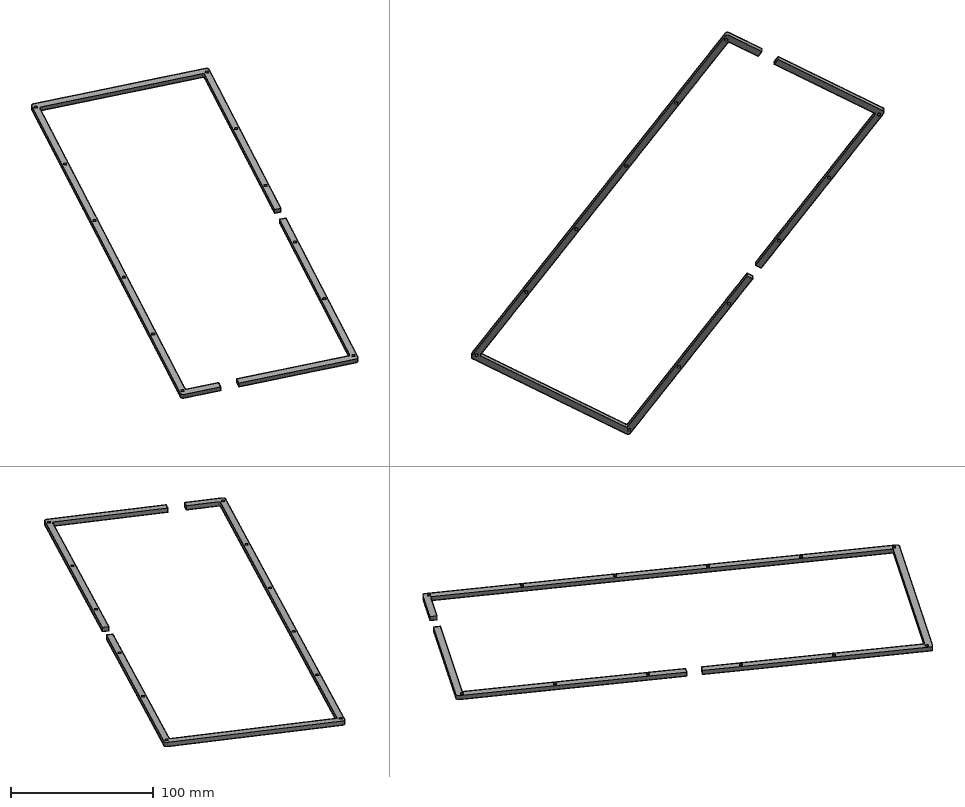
import cadquery as cq

length = 340.0
width = 131.0
thickness = 3.5

long_bar_width = 4.8
short_bar_width = 5.0
outer_corner_radius = 2.0
inner_corner_radius = 1.0

back_gap = 11.2
side_gap = 13.3
side_gap_center_y = -29.5

hole_diameter = 2.2
holes_per_bar = 6
hole_pitch = 66.3
left_hole_inset = 4.0
hole_row_center_x = left_hole_inset + hole_pitch * (holes_per_bar - 1) / 2 - length / 2
hole_center_y = (width - long_bar_width) / 2


def rounded_plate(plate_length, plate_width, corner_radius):
    """Flat plate with rounded vertical edges, centred on the origin."""
    plate = cq.Workplane("XY").box(plate_length, plate_width, thickness)
    return plate.edges("|Z").fillet(corner_radius)


def closed_frame():
    """Full rectangular frame with its screw holes, before it is split."""
    opening = rounded_plate(
        length - 2 * short_bar_width,
        width - 2 * long_bar_width,
        inner_corner_radius,
    )
    frame = rounded_plate(length, width, outer_corner_radius).cut(opening)
    holes = (
        cq.Workplane("XY")
        .center(hole_row_center_x, 0)
        .rarray(hole_pitch, 2 * hole_center_y, holes_per_bar, 2)
        .circle(hole_diameter / 2)
        .extrude(thickness, both=True)
    )
    return frame.cut(holes)


def corner_region():
    """Block around the back right corner, from mid back gap to mid side gap."""
    return cq.Workplane("XY").box(
        length / 2,
        width / 2 - side_gap_center_y,
        thickness,
    ).translate((length / 4, (width / 2 + side_gap_center_y) / 2, 0))


def gap_cutters():
    """Blocks that clear the back gap and the right side gap."""
    back = (
        cq.Workplane("XY")
        .box(back_gap, 2 * long_bar_width, thickness)
        .translate((0, width / 2, 0))
    )
    side = (
        cq.Workplane("XY")
        .box(2 * short_bar_width, side_gap, thickness)
        .translate((length / 2, side_gap_center_y, 0))
    )
    return back.add(side).combine()


split_frame = closed_frame().cut(gap_cutters())

main_strip = split_frame.cut(corner_region()).solids()

corner_strip = split_frame.intersect(corner_region()).solids()

result = cq.Compound.makeCompound([main_strip.val(), corner_strip.val()])